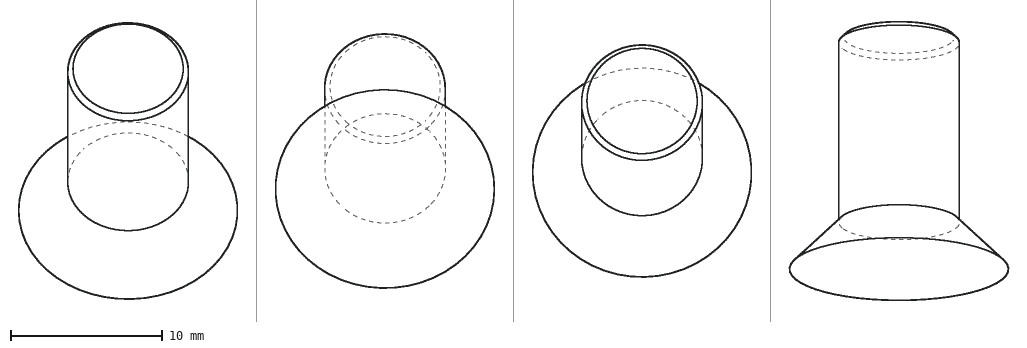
import cadquery as cq

total_length = 16.0
head_diameter = 14.5
shank_diameter = 8.0
tip_chamfer = 0.35

head_radius = head_diameter / 2
shank_radius = shank_diameter / 2
head_height = head_radius - shank_radius

profile = (
    cq.Workplane("XZ")
    .moveTo(0, 0)
    .lineTo(head_radius, 0)
    .lineTo(shank_radius, head_height)
    .lineTo(shank_radius, total_length - tip_chamfer)
    .lineTo(shank_radius - tip_chamfer, total_length)
    .lineTo(0, total_length)
    .close()
)

screw = profile.revolve(360, (0, 0, 0), (0, 1, 0))

result = screw.translate((0, 0, -total_length / 2))